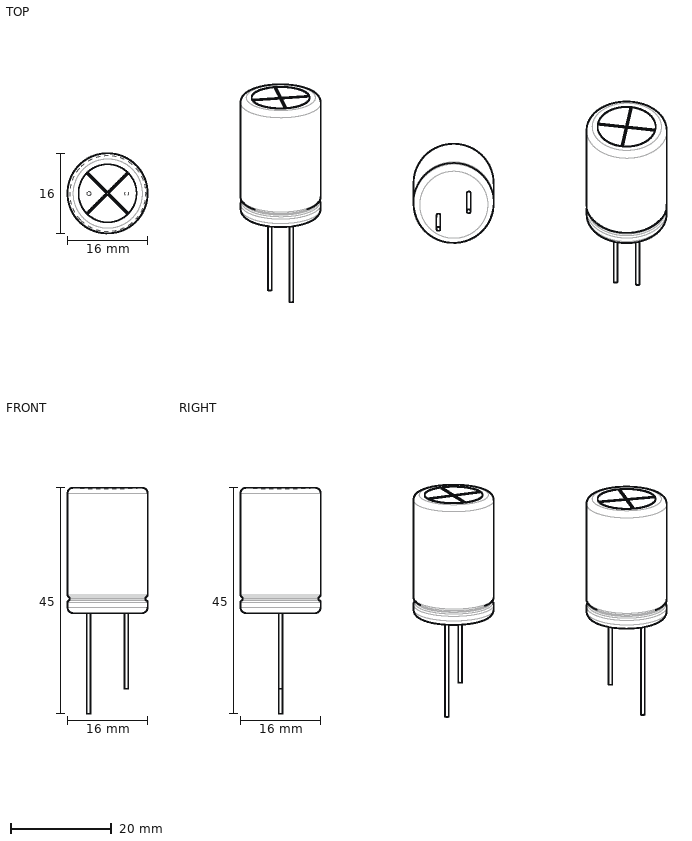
import cadquery as cq
import math

can_diameter = 16.0
can_height = 25.0
top_rim_radius = 1.11
base_rim_radius = 1.22

groove_height = 2.93
groove_depth = 0.444
groove_land_width = 0.11
groove_lip_radius = 0.444
groove_root_radius = 0.333

vent_diameter = 11.56
vent_recess = 0.11
score_length = 11.11
score_width = 0.33
score_depth = 0.11
score_angles = (45, 135)

lead_diameter = 0.8
lead_pitch = 7.5
long_lead_length = 20.0
short_lead_length = 15.0

can_radius = can_diameter / 2
vent_level = can_height - vent_recess
score_level = vent_level - score_depth


def make_groove_cutter():
    """Ring that leaves a crimp groove with a narrow flat land, rounded roots and rounded lips.

    On each side a root arc leaves the land and runs smoothly into a lip arc,
    which meets the can wall. Offsets are measured along Z from the middle of the groove.
    """
    land_radius = can_radius - groove_depth
    land_offset = groove_land_width / 2

    turn = math.acos(1 - groove_depth / (groove_root_radius + groove_lip_radius))

    def root_point(angle):
        radius = land_radius + groove_root_radius * (1 - math.cos(angle))
        return radius, land_offset + groove_root_radius * math.sin(angle)

    lip_offset = land_offset + (groove_root_radius + groove_lip_radius) * math.sin(turn)

    def lip_point(angle):
        radius = can_radius - groove_lip_radius * (1 - math.cos(angle))
        return radius, lip_offset - groove_lip_radius * math.sin(angle)

    def mirrored(point):
        radius, offset = point
        return radius, -offset

    outside_radius = can_radius + groove_depth
    profile = (
        cq.Workplane("XZ", origin=(0, 0, groove_height))
        .moveTo(land_radius, -land_offset)
        .lineTo(land_radius, land_offset)
        .threePointArc(root_point(turn / 2), root_point(turn))
        .threePointArc(lip_point(turn / 2), lip_point(0))
        .lineTo(outside_radius, lip_offset)
        .lineTo(outside_radius, -lip_offset)
        .lineTo(can_radius, -lip_offset)
        .threePointArc(mirrored(lip_point(turn / 2)), mirrored(lip_point(turn)))
        .threePointArc(mirrored(root_point(turn / 2)), mirrored(root_point(0)))
        .close()
    )
    return profile.revolve(360, (0, 0), (0, 1))


def make_disc(diameter, bottom_level, thickness):
    return cq.Workplane("XY", origin=(0, 0, bottom_level)).circle(diameter / 2).extrude(thickness)


def make_score_cutter(angle):
    """Straight score across the vent face, turned about the can axis."""
    return (
        cq.Workplane("XY", origin=(0, 0, score_level))
        .transformed(rotate=(0, 0, angle))
        .rect(score_length, score_width)
        .extrude(score_depth)
    )


def make_can():
    can = make_disc(can_diameter, 0, can_height)
    can = can.faces(">Z").edges().fillet(top_rim_radius)
    can = can.faces("<Z").edges().fillet(base_rim_radius)
    can = can.cut(make_groove_cutter())

    can = can.cut(make_disc(vent_diameter, vent_level, vent_recess))
    for angle in score_angles:
        can = can.cut(make_score_cutter(angle))
    return can


def make_lead(x, length):
    """Round wire hanging down from the base of the can."""
    return cq.Workplane("XY").center(x, 0).circle(lead_diameter / 2).extrude(-length)


can = make_can()
leads = [
    make_lead(-lead_pitch / 2, long_lead_length),
    make_lead(lead_pitch / 2, short_lead_length),
]

result = cq.Compound.makeCompound([can.val(), *[lead.val() for lead in leads]])